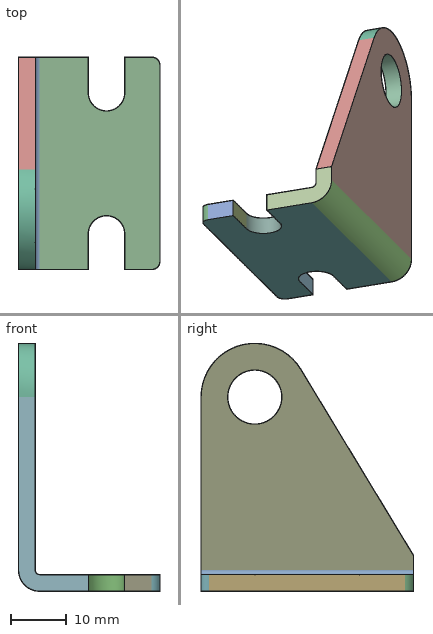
import cadquery as cq
import math

length_x = 25.4
width_y = 38.1
height_z = 44.45
thickness = 3.02

inner_bend_radius = 0.8
outer_bend_radius = inner_bend_radius + thickness

lug_radius = 9.65
lug_hole_diameter = 9.65
lug_y = lug_radius
lug_z = height_z - lug_radius
short_edge_height = 6.45

slot_width = 6.5
slot_depth = 9.65
slot_x = 15.8
corner_radius = 1.5


def bent_sheet():
    """L-shaped sheet with a rounded bend along Y."""
    sheet = (
        cq.Workplane("XZ")
        .polyline([
            (0, 0),
            (length_x, 0),
            (length_x, thickness),
            (thickness, thickness),
            (thickness, height_z),
            (0, height_z),
        ])
        .close()
        .extrude(-width_y)
    )
    inner_edge = cq.NearestToPointSelector((thickness, width_y / 2, thickness))
    outer_edge = cq.NearestToPointSelector((0, width_y / 2, 0))
    sheet = sheet.edges("|Y").edges(inner_edge).fillet(inner_bend_radius)
    sheet = sheet.edges("|Y").edges(outer_edge).fillet(outer_bend_radius)
    return sheet.edges("|Z and >X").fillet(corner_radius)


def upright_outline():
    """Side silhouette, with the sloping edge tangent to the lug."""
    run = width_y - lug_y
    rise = lug_z - short_edge_height
    slope = math.atan2(rise, run) + math.asin(lug_radius / math.hypot(run, rise))
    tangent_y = lug_y + lug_radius * math.sin(slope)
    tangent_z = lug_z + lug_radius * math.cos(slope)
    return (
        cq.Workplane("YZ")
        .moveTo(0, 0)
        .lineTo(width_y, 0)
        .lineTo(width_y, short_edge_height)
        .lineTo(tangent_y, tangent_z)
        .threePointArc((lug_y, height_z), (lug_y - lug_radius, lug_z))
        .close()
        .extrude(length_x)
    )


def lug_hole():
    return (
        cq.Workplane("YZ")
        .center(lug_y, lug_z)
        .circle(lug_hole_diameter / 2)
        .extrude(thickness)
    )


def edge_slot(edge_y):
    """Round-ended slot through the base, centred on a side edge."""
    return (
        cq.Workplane("XY")
        .center(slot_x, edge_y)
        .slot2D(2 * slot_depth, slot_width, 90)
        .extrude(thickness)
    )


result = bent_sheet().intersect(upright_outline()).cut(lug_hole())
for side_edge_y in (0, width_y):
    result = result.cut(edge_slot(side_edge_y))